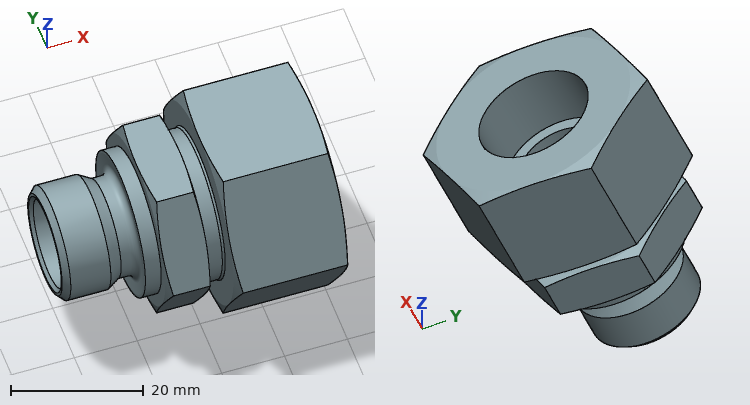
import cadquery as cq
import math


total_length = 42.5
hex_chamfer_angle = 15.0

bore_radius = 6.95
bore_mouth_radius = 7.52
bore_mouth_depth = 0.55
stud_radius = 9.0
tip_chamfer = 1.0
stud_thread_end = 7.4
groove_start = 9.45
groove_end = 11.05
groove_radius = 7.8
groove_fillet = 1.25

collar_start = 12.03
collar_radius = 11.5
rim_inner_radius = 11.05

body_hex_start = 14.55
body_hex_end = 21.5
body_hex_flats = 27.0

neck_radius = 11.85
neck_end = 24.15
shank_radius = 13.0
shank_lead_angle = 30.0
shank_end = 32.3

nut_start = 24.52
nut_flats = 32.0
nut_exit_radius = 9.0


def turned(points):
    """Revolve a closed outline of (x, radius) points about the X axis."""
    return cq.Workplane("XY").polyline(points).close().revolve(360, (0, 0, 0), (1, 0, 0))


def chamfered_hexagon(start, end, flats):
    """Hexagonal prism along X, flats facing +Z and -Z, corners turned off at both ends."""
    corner_radius = flats / 2 / math.cos(math.radians(30))
    lead = (corner_radius - flats / 2) * math.tan(math.radians(hex_chamfer_angle))
    prism = (
        cq.Workplane("YZ", origin=(start, 0, 0))
        .polygon(6, 2 * corner_radius)
        .extrude(end - start)
    )
    envelope = turned([
        (start, 0),
        (start, flats / 2),
        (start + lead, corner_radius),
        (end - lead, corner_radius),
        (end, flats / 2),
        (end, 0),
    ])
    return prism.intersect(envelope)


def stud():
    """Stud, relief groove and sealing collar; the groove fillet runs tangent into the recess cone."""
    centre_x = groove_end
    centre_r = groove_radius + groove_fillet
    rim_dx = collar_start - centre_x
    rim_dr = rim_inner_radius - centre_r
    tangent_angle = math.atan2(rim_dr, rim_dx) - math.acos(groove_fillet / math.hypot(rim_dx, rim_dr))
    middle_angle = (tangent_angle - math.pi / 2) / 2

    def on_fillet(angle):
        return (centre_x + groove_fillet * math.cos(angle), centre_r + groove_fillet * math.sin(angle))

    return (
        cq.Workplane("XY")
        .moveTo(0, 0)
        .lineTo(0, stud_radius - tip_chamfer)
        .lineTo(tip_chamfer, stud_radius)
        .lineTo(stud_thread_end, stud_radius)
        .lineTo(groove_start, groove_radius)
        .lineTo(groove_end, groove_radius)
        .threePointArc(on_fillet(middle_angle), on_fillet(tangent_angle))
        .lineTo(collar_start, rim_inner_radius)
        .lineTo(collar_start, collar_radius)
        .lineTo(body_hex_start, collar_radius)
        .lineTo(body_hex_start, 0)
        .close()
        .revolve(360, (0, 0, 0), (1, 0, 0))
    )


def shank():
    """Neck, lead cone and nut thread as a solid of revolution."""
    lead_length = (shank_radius - neck_radius) / math.tan(math.radians(shank_lead_angle))
    return turned([
        (body_hex_end, 0),
        (body_hex_end, neck_radius),
        (neck_end, neck_radius),
        (neck_end + lead_length, shank_radius),
        (shank_end, shank_radius),
        (shank_end, 0),
    ])


def bore():
    """Through bore of the body with a chamfered mouth at the stud tip."""
    return turned([
        (0, 0),
        (0, bore_mouth_radius),
        (bore_mouth_depth, bore_radius),
        (shank_end, bore_radius),
        (shank_end, 0),
    ])


def make_body():
    hexagon = chamfered_hexagon(body_hex_start, body_hex_end, body_hex_flats)
    return stud().union(hexagon).union(shank()).cut(bore())


def make_nut():
    """Hexagon nut whose cavity fits the shank, with a smaller tube hole out of the far end."""
    tube_hole = turned([
        (nut_start, 0),
        (nut_start, nut_exit_radius),
        (total_length, nut_exit_radius),
        (total_length, 0),
    ])
    return chamfered_hexagon(nut_start, total_length, nut_flats).cut(shank()).cut(tube_hole)


body = make_body()
nut = make_nut()

result = cq.Compound.makeCompound([body.val(), nut.val()])